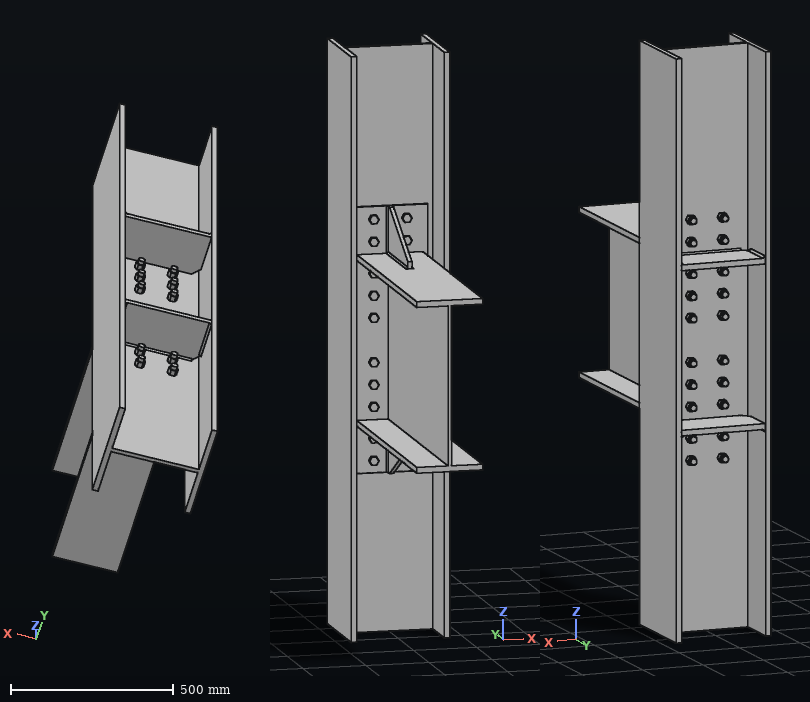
import cadquery as cq
import math

COLUMN_HEIGHT = 1837.0
COLUMN_DEPTH = 315.0
COLUMN_WIDTH = 307.0
COLUMN_FLANGE = 18.0
COLUMN_WEB = 13.0

PLATE_WIDTH = 240.0
PLATE_HEIGHT = 835.0
PLATE_THICKNESS = 10.0

OVERALL_Y = 940.0
BEAM_DEPTH = 538.0
BEAM_WIDTH = 210.0
BEAM_FLANGE = 18.0
BEAM_WEB = 11.0

GUSSET_LENGTH = 259.0
GUSSET_THICKNESS = 13.0
GUSSET_NOSE = 22.0

STIFFENER_SETBACK = 4.0
STIFFENER_CLIP = 24.0

WELD_LEG = 5.0
STIFFENER_SIDE_WELD_LEG = 7.0

BOLT_DIAMETER = 20.0
HEX_FLATS = 25.0
HEAD_HEIGHT = 13.0
NUT_HEIGHT = 18.0
BOLT_PROJECTION = 31.0
BOLT_GAUGE = 105.0
BOLT_HEIGHTS = (70.0, 140.0, 210.0, 309.0, 378.0)

web_front = -COLUMN_WEB / 2
web_back = COLUMN_WEB / 2
plate_front = web_front - PLATE_THICKNESS
beam_end = COLUMN_WIDTH / 2 - OVERALL_Y
beam_top = BEAM_DEPTH / 2
stiffener_back = COLUMN_WIDTH / 2 - STIFFENER_SETBACK
column_inside = COLUMN_DEPTH / 2 - COLUMN_FLANGE


def block(x0, x1, y0, y1, z0, z1):
    """Box between two opposite corners."""
    return cq.Workplane("XY").box(x1 - x0, y1 - y0, z1 - z0, centered=False).translate((x0, y0, z0))


def mid_block(width, y0, y1, z0, z1):
    """Box centred on the YZ plane."""
    return block(-width / 2, width / 2, y0, y1, z0, z1)


def mirrored_pair(body, plane):
    """A body together with its mirror image."""
    return body.union(body.mirror(plane))


def column():
    half_height = COLUMN_HEIGHT / 2
    half_width = COLUMN_WIDTH / 2
    web = mid_block(COLUMN_DEPTH, web_front, web_back, -half_height, half_height)
    flange = block(column_inside, COLUMN_DEPTH / 2, -half_width, half_width, -half_height, half_height)
    return web.union(mirrored_pair(flange, "YZ"))


def end_plate():
    return mid_block(PLATE_WIDTH, plate_front, web_front, -PLATE_HEIGHT / 2, PLATE_HEIGHT / 2)


def beam():
    web = mid_block(BEAM_WEB, beam_end, plate_front, -beam_top, beam_top)
    flange = mid_block(BEAM_WIDTH, beam_end, plate_front, beam_top - BEAM_FLANGE, beam_top)
    return web.union(mirrored_pair(flange, "XY"))


def upper_gusset():
    top = PLATE_HEIGHT / 2
    tip = plate_front - GUSSET_LENGTH
    return (
        cq.Workplane("YZ")
        .moveTo(plate_front, beam_top)
        .lineTo(plate_front, top)
        .lineTo(plate_front - GUSSET_NOSE, top)
        .lineTo(tip, beam_top + GUSSET_NOSE)
        .lineTo(tip, beam_top)
        .close()
        .extrude(GUSSET_THICKNESS / 2, both=True)
    )


def upper_stiffener():
    plate = mid_block(2 * column_inside, web_back, stiffener_back, beam_top - BEAM_FLANGE, beam_top)
    return plate.edges("|Z and <Y").chamfer(STIFFENER_CLIP)


def weld(start, run, leg_a, leg_b, leg=WELD_LEG):
    """Triangular fillet weld swept from a corner point along run, its legs reaching along two directions."""
    corner = cq.Vector(*start)
    path = cq.Vector(*run)
    tip_a = corner + cq.Vector(*leg_a) * leg
    tip_b = corner + cq.Vector(*leg_b) * leg
    outline = cq.Wire.makePolygon([corner, tip_a, tip_b, corner])
    return cq.Workplane(cq.Solid.extrudeLinear(outline, [], path))


def gusset_welds():
    """Welds joining the +X side of the upper gusset to the beam flange and to the end plate."""
    corner = (GUSSET_THICKNESS / 2, plate_front, beam_top)
    along_flange = weld(corner, (0, -GUSSET_LENGTH, 0), (1, 0, 0), (0, 0, 1))
    along_plate = weld(corner, (0, 0, PLATE_HEIGHT / 2 - beam_top), (1, 0, 0), (0, -1, 0))
    return along_flange.union(along_plate)


def stiffener_welds():
    """Welds joining the top of the upper stiffener to the column web and to both column flanges."""
    clipped_side = (column_inside, web_back + STIFFENER_CLIP, beam_top)
    flange_run = (0, stiffener_back - clipped_side[1], 0)
    along_flange = weld(clipped_side, flange_run, (-1, 0, 0), (0, 0, 1), STIFFENER_SIDE_WELD_LEG)
    clipped_corner = (STIFFENER_CLIP - column_inside, web_back, beam_top)
    along_web = weld(clipped_corner, (-2 * clipped_corner[0], 0, 0), (0, 1, 0), (0, 0, 1))
    return mirrored_pair(along_flange, "YZ").union(along_web)


def hexagon(height):
    corner_diameter = HEX_FLATS / math.cos(math.pi / 6)
    return cq.Workplane("XZ").polygon(6, corner_diameter).extrude(height)


def bolt():
    """Head in front of the end plate, nut and shank end behind the column web."""
    head = hexagon(HEAD_HEIGHT).translate((0, plate_front, 0))
    nut = hexagon(NUT_HEIGHT).translate((0, web_back + NUT_HEIGHT, 0))
    shank_end = web_back + BOLT_PROJECTION
    shank_length = shank_end - plate_front
    shank = cq.Workplane("XZ", origin=(0, shank_end, 0)).circle(BOLT_DIAMETER / 2).extrude(shank_length)
    return head.union(nut).union(shank)


result = column().union(end_plate()).union(beam())

for feature in (upper_gusset(), mirrored_pair(gusset_welds(), "YZ"), upper_stiffener(), stiffener_welds()):
    result = result.union(mirrored_pair(feature, "XY"))

for x in (-BOLT_GAUGE / 2, BOLT_GAUGE / 2):
    for height in BOLT_HEIGHTS:
        for z in (-height, height):
            result = result.union(bolt().translate((x, 0, z)))